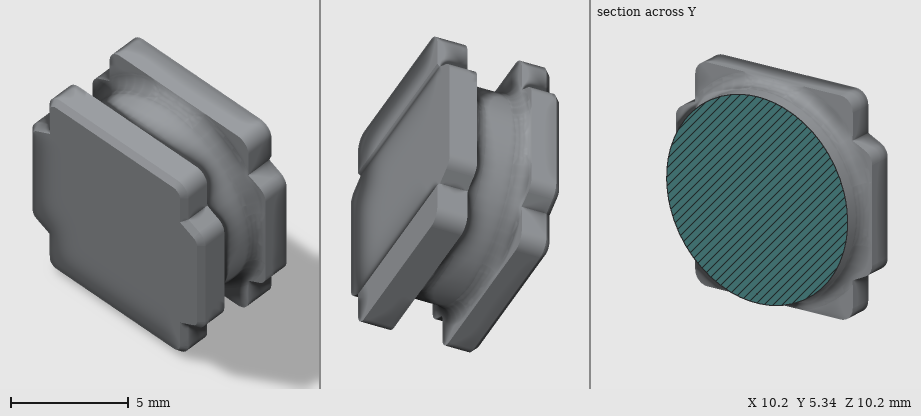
import cadquery as cq

size = 10.17
thickness = 5.34
flange_thickness = 1.4
tab_half_width = 4.08
notch_half_height = 3.17
wing_half_height = 2.67
corner_radius = 0.64
rim_chamfer = 0.25
core_radius = 4.7
core_fillet = 0.61
channel_depth = 0.12

half = size / 2
half_thickness = thickness / 2
front_flange_inner_y = flange_thickness - half_thickness
core_length = thickness - 2 * flange_thickness


def spool():
    """Round core between two square flanges, with fillets where they meet."""
    square_block = cq.Workplane("XY").box(size, thickness, size)
    gap = cq.Workplane("XY").box(size, core_length, size)
    core = cq.Workplane(
        cq.Solid.makeCylinder(
            core_radius, core_length, cq.Vector(0, front_flange_inner_y, 0), cq.Vector(0, 1, 0)
        )
    )
    body = square_block.cut(gap).union(core)
    return body.edges("%CIRCLE").fillet(core_fillet)


def flange_outline():
    """Full-depth prism with tabs at top and bottom and wings at both sides."""
    quarter = [
        (tab_half_width, half),
        (tab_half_width, notch_half_height),
        (half, wing_half_height),
    ]
    right_side = quarter + [(x, -z) for x, z in reversed(quarter)]
    left_side = [(-x, z) for x, z in reversed(right_side)]
    prism = (
        cq.Workplane("XZ")
        .polyline(right_side + left_side)
        .close()
        .extrude(half_thickness, both=True)
    )
    prism = prism.edges("|Y").edges(">Z or <Z").fillet(corner_radius)
    prism = prism.edges("|Y").edges(">X or <X").fillet(corner_radius)
    return prism.faces("<Y").chamfer(rim_chamfer)


def back_channel():
    """Recess along X in the back face, with 45 degree sides."""
    face_half_height = notch_half_height + channel_depth
    return (
        cq.Workplane("YZ")
        .moveTo(half_thickness, face_half_height)
        .lineTo(half_thickness - channel_depth, notch_half_height)
        .lineTo(half_thickness - channel_depth, -notch_half_height)
        .lineTo(half_thickness, -face_half_height)
        .close()
        .extrude(half, both=True)
    )


result = spool().intersect(flange_outline()).cut(back_channel())